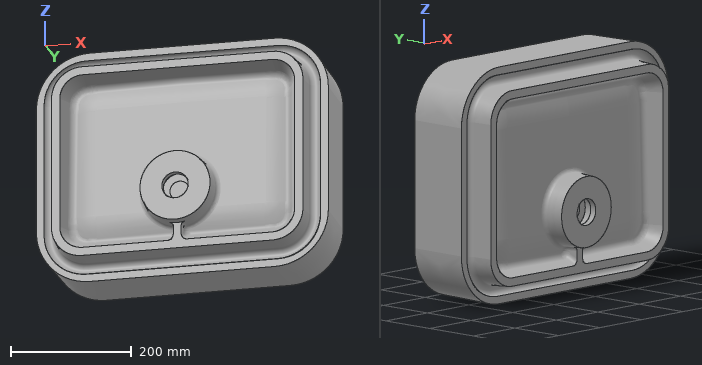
import cadquery as cq
import math


LENGTH = 500.0
HEIGHT = 400.0
SKIRT_DEPTH = 110.0
SKIRT_CORNER = 92.0
SKIRT_DRAFT = 1.0
BACK_EDGE_FILLET = 2.0

GROOVE_RADIUS = 9.5
GROOVE_INSET = 23.0
GROOVE_CORNER = 63.5

RING_HEIGHT = 34.0
RING_DRAFT = 4.0
RING_INSET = GROOVE_INSET + GROOVE_RADIUS
RING_CORNER = GROOVE_CORNER - GROOVE_RADIUS

CAVITY_INSET = 49.0
CAVITY_CORNER = 39.0
CAVITY_DRAFT = 23.0
CAVITY_REACH = 45.0
FLOOR_FILLET = 11.5

RIDGE_Y = -12.5
SIDE_TILT = 1.2
FLOOR_LEAN = 1.4
FLAT_HALF_LENGTH = 144.0
FLAT_HALF_HEIGHT = 94.0
FLAT_CENTRE_Z = 2.5
CROWN_RADIUS = 110.0
CROWN_CORNER = 112.5
CROWN_BACK_Y = 150.0

BOSS_Z = -60.0
BOSS_RADIUS = 60.0
BOSS_PROJECTION = 15.0
BOSS_DRAFT = 4.0
BOSS_ROOT_DEPTH = 10.0
BOSS_FILLET = 7.5
RIB_WIDTH = 13.5
RIB_FILLET = 10.0

MOUTH_RADIUS = 22.5
MOUTH_DEPTH = 11.5
CHAMBER_RADIUS = 30.0
CHAMBER_DEPTH = 31.0

PIN_RADIUS = 16.5

NEAR = 0.5
BOSS_FOOT_FLARE = 5.0
STEEP_LIMIT = 0.8

RING_FACE_Y = -RING_HEIGHT
BOSS_FACE_Y = RING_FACE_Y - BOSS_PROJECTION
CHAMBER_FLOOR_Y = BOSS_FACE_Y + CHAMBER_DEPTH


def plane_at(y, direction):
    """Workplane across Y that extrudes toward +Y (direction 1) or -Y (direction -1)."""
    return cq.Workplane(cq.Plane((0, y, 0), (1, 0, 0), (0, direction, 0)))


def rounded_outline(y, direction, inset, corner):
    """The skirt outline moved inward by inset, with its own corner radius."""
    outline = cq.Sketch().rect(LENGTH - 2 * inset, HEIGHT - 2 * inset).vertices().fillet(corner)
    return plane_at(y, direction).placeSketch(outline)


def boss_axis_cylinder(radius, front_y, back_y):
    base = cq.Vector(0, front_y, BOSS_Z)
    return cq.Workplane(cq.Solid.makeCylinder(radius, back_y - front_y, base, cq.Vector(0, 1, 0)))


def make_skirt():
    skirt = rounded_outline(0, 1, 0, SKIRT_CORNER).extrude(SKIRT_DEPTH, taper=SKIRT_DRAFT)
    return skirt.faces(">Y").edges().fillet(BACK_EDGE_FILLET)


def make_ring():
    return rounded_outline(0, -1, RING_INSET, RING_CORNER).extrude(RING_HEIGHT, taper=RING_DRAFT)


def make_groove():
    """Round bar along the groove centreline; its back half cuts the groove."""
    core = rounded_outline(0, 1, GROOVE_INSET, GROOVE_CORNER).extrude(GROOVE_RADIUS)
    path = core.faces("<Y").wires()
    top_middle = (0, 0, HEIGHT / 2 - GROOVE_INSET)
    section = cq.Workplane(cq.Plane(top_middle, (0, 1, 0), (1, 0, 0))).circle(GROOVE_RADIUS)
    bar = section.sweep(path)
    return bar.intersect(rounded_outline(0, 1, 0, SKIRT_CORNER).extrude(SKIRT_DEPTH))


def make_crown():
    """Block whose front is the ridged floor with rounded-off borders."""
    half_length = FLAT_HALF_LENGTH + CROWN_RADIUS
    half_height = FLAT_HALF_HEIGHT + CROWN_RADIUS
    side_y = RIDGE_Y + half_length * math.tan(math.radians(SIDE_TILT))
    crown = (
        cq.Workplane("XY", origin=(0, 0, FLAT_CENTRE_Z - half_height))
        .moveTo(0, RIDGE_Y)
        .lineTo(half_length, side_y)
        .lineTo(half_length, CROWN_BACK_Y)
        .lineTo(-half_length, CROWN_BACK_Y)
        .lineTo(-half_length, side_y)
        .close()
        .extrude(2 * half_height)
        .edges("|Y").fillet(CROWN_CORNER)
    )
    front = cq.selectors.BoxSelector((-LENGTH, RIDGE_Y - 5, -HEIGHT), (LENGTH, side_y + 5, HEIGHT))
    ridge = cq.selectors.BoxSelector((-5, RIDGE_Y - 5, -5), (5, RIDGE_Y + 5, 2 * FLAT_CENTRE_Z + 5))
    rim = crown.edges(front - ridge)
    return rim.fillet(CROWN_RADIUS).rotate((0, RIDGE_Y, 0), (1, RIDGE_Y, 0), -FLOOR_LEAN)


def make_boss():
    face = plane_at(BOSS_FACE_Y, 1).center(0, -BOSS_Z).circle(BOSS_RADIUS)
    return face.extrude(BOSS_ROOT_DEPTH - BOSS_FACE_Y, taper=-BOSS_DRAFT)


def make_rib():
    """Rib from the boss axis to the ring, flush with the ring face."""
    length = HEIGHT / 2 - RING_INSET - abs(BOSS_Z)
    rib = cq.Workplane("XY").box(RIB_WIDTH, 2 * RING_HEIGHT, length)
    return rib.translate((0, 0, BOSS_Z - length / 2))


def is_floor(face):
    """True for the faces of the crowned floor: well behind the ring face and facing along Y."""
    is_steep = face.geomType() == "CONE" or abs(face.normalAt().y) < STEEP_LIMIT
    return not is_steep and face.Center().y > RING_FACE_Y / 2


def floor_border(hollow):
    """Edges where the floor meets the sloping wall of the ring."""
    floor_faces = [face for face in hollow.Faces() if is_floor(face)]
    wall_faces = [face for face in hollow.Faces() if not is_floor(face)]
    wall_edges = [edge for face in wall_faces for edge in face.Edges()]
    floor_edges = [edge for face in floor_faces for edge in face.Edges()]
    return [edge for edge in floor_edges if any(edge.isSame(other) for other in wall_edges)]


def behind_ring_face(edge):
    return edge.BoundingBox().ymin > RING_FACE_Y + NEAR


def rib_foot_edges(cavity):
    """Edges on either side of the rib where it meets the floor."""
    edges = filter(behind_ring_face, cavity.Edges())
    return [e for e in edges if abs(abs(e.Center().x) - RIB_WIDTH / 2) < NEAR]


def boss_foot_edges(cavity):
    """Edges whose whole length runs round the boss where it meets the floor."""

    def is_round_boss(edge):
        points = [edge.positionAt(t) for t in (0, 0.5, 1)]
        return all(abs(math.hypot(p.x, p.z - BOSS_Z) - BOSS_RADIUS) < BOSS_FOOT_FLARE for p in points)

    return [e for e in filter(behind_ring_face, cavity.Edges()) if is_round_boss(e)]


def make_cavity():
    """The hollow in the ring, with the floor, boss and rib left standing."""
    opening = rounded_outline(RING_FACE_Y, 1, CAVITY_INSET, CAVITY_CORNER)
    hollow = opening.extrude(CAVITY_REACH, taper=CAVITY_DRAFT)
    floor = hollow.cut(make_crown()).solids().val()
    rounded = floor.fillet(FLOOR_FILLET, floor_border(floor)).Solids()[0]
    cavity = cq.Workplane(rounded).cut(make_boss()).cut(make_rib()).solids().val()
    cavity = cavity.fillet(RIB_FILLET, rib_foot_edges(cavity)).Solids()[0]
    cavity = cavity.fillet(BOSS_FILLET, boss_foot_edges(cavity)).Solids()[0]
    return cq.Workplane(cavity)


def make_basin():
    body = make_skirt().union(make_ring()).cut(make_groove()).cut(make_cavity())
    mouth = boss_axis_cylinder(MOUTH_RADIUS, BOSS_FACE_Y, CHAMBER_FLOOR_Y)
    chamber = boss_axis_cylinder(CHAMBER_RADIUS, BOSS_FACE_Y + MOUTH_DEPTH, CHAMBER_FLOOR_Y)
    return body.union(make_boss()).clean().cut(mouth).cut(chamber).cut(make_pin()).solids()


def make_pin():
    return boss_axis_cylinder(PIN_RADIUS, CHAMBER_FLOOR_Y, SKIRT_DEPTH)


basin = make_basin()
pin = make_pin()
result = cq.Compound.makeCompound([basin.val(), pin.val()])